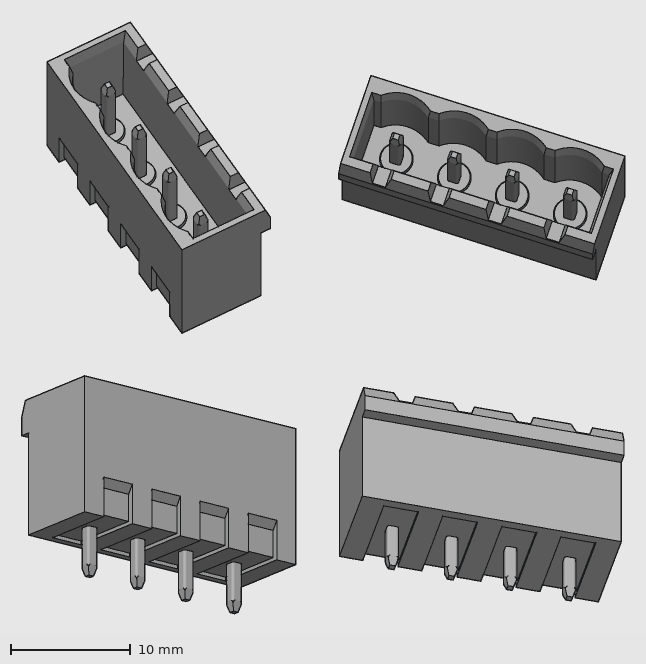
import cadquery as cq


pin_count = 4
pitch = 5.1
pin_y = 3.88
pin_xs = [(i - (pin_count - 1) / 2) * pitch for i in range(pin_count)]

length = 22.32
body_depth = 7.65
overall_depth = 8.57
height = 11.99
lip_height = 3.0
lip_bevel_run = 0.51
lip_bevel_drop = 1.38

side_wall = 0.83
front_wall = 1.67
back_wall = 0.71
back_wall_draft = 0.07
floor_z = 3.5
mouth_bevel = 0.3
mouth_bevel_back = 0.33
mouth_bevel_drop = 1.1
cavity_length = length - 2 * side_wall
cavity_back_y = body_depth - back_wall
cavity_depth = cavity_back_y - front_wall
cavity_y = front_wall + cavity_depth / 2
mouth_bevel_z = height - mouth_bevel_drop

scallop_half_width = 2.08
scallop_depth = 0.75
scallop_mouth_half_width = 2.17
scallop_mouth_depth = 0.8

boss_base_radius = 1.4
boss_top_radius = 1.32
boss_height = 0.22

coding_slot_top_width = 1.85
coding_slot_floor_width = 1.14
coding_slot_drop = 1.23

notch_width = 3.01
notch_height = 3.48
notch_depth = 0.5
notch_roof_rise = 0.75
channel_height = 0.33
channel_end_y = cavity_back_y

pin_width = 1.0
pin_edge_radius = 0.22
pin_bottom_z = -3.9
pin_top_z = 10.2
pin_tip_length = 0.9
pin_tip_width = 0.5


def side_profile(points, width, x):
    """Prism of the given (Y, Z) outline, centred on x along the X axis."""
    return cq.Workplane("YZ", origin=(x, 0, 0)).polyline(points).close().extrude(width / 2, both=True)


def housing_block():
    outline = [
        (0, 0),
        (body_depth, 0),
        (body_depth, height - lip_height),
        (overall_depth, height - lip_height),
        (overall_depth, height - lip_bevel_drop),
        (overall_depth - lip_bevel_run, height),
        (0, height),
    ]
    return side_profile(outline, length, 0)


def cavity():
    """Rectangular pocket with a drafted back wall and a mouth flaring outward to the top face."""
    pocket_outline = [
        (front_wall, floor_z),
        (cavity_back_y - back_wall_draft, floor_z),
        (cavity_back_y, mouth_bevel_z),
        (front_wall, mouth_bevel_z),
    ]
    pocket = side_profile(pocket_outline, cavity_length, 0)
    mouth = (
        cq.Workplane("XY", origin=(0, cavity_y, mouth_bevel_z))
        .rect(cavity_length, cavity_depth)
        .workplane(offset=mouth_bevel_drop)
        .center(0, (mouth_bevel_back - mouth_bevel) / 2)
        .rect(cavity_length + 2 * mouth_bevel, cavity_depth + mouth_bevel + mouth_bevel_back)
        .loft(ruled=True)
    )
    return pocket.union(mouth)


def scallop_outline(plane, chord_y, half_width, depth):
    """Circular segment that bulges from its chord toward the front face."""
    return (
        plane.moveTo(-half_width, chord_y)
        .threePointArc((0, chord_y - depth), (half_width, chord_y))
        .close()
    )


def scallop(x):
    """Scallop with upright walls below and the same outward flare as the cavity mouth above."""
    lower = scallop_outline(
        cq.Workplane("XY", origin=(x, 0, floor_z)), front_wall, scallop_half_width, scallop_depth
    ).extrude(mouth_bevel_z - floor_z)
    flare_base = scallop_outline(
        cq.Workplane("XY", origin=(x, 0, mouth_bevel_z)), front_wall, scallop_half_width, scallop_depth
    )
    flare = scallop_outline(
        flare_base.workplane(offset=mouth_bevel_drop, origin=(x, 0, mouth_bevel_z)),
        front_wall - mouth_bevel,
        scallop_mouth_half_width,
        scallop_mouth_depth,
    ).loft(ruled=True)
    return lower.union(flare)


def boss(x):
    """Low tapered boss standing on the cavity floor."""
    return (
        cq.Workplane("XY", origin=(x, pin_y, floor_z))
        .circle(boss_base_radius)
        .workplane(offset=boss_height)
        .circle(boss_top_radius)
        .loft()
    )


def coding_slot(x):
    """Slot with sloping sides through the rear wall and lip."""
    slot_floor_z = height - coding_slot_drop
    outline = [
        (x - coding_slot_floor_width / 2, slot_floor_z),
        (x + coding_slot_floor_width / 2, slot_floor_z),
        (x + coding_slot_top_width / 2, height),
        (x - coding_slot_top_width / 2, height),
    ]
    slot_length = overall_depth - cavity_y
    return cq.Workplane("XZ", origin=(0, overall_depth, 0)).polyline(outline).close().extrude(slot_length)


def notch(x):
    """Front notch with a sloping roof, opening into a channel under the pin."""
    outline = [
        (0, 0),
        (channel_end_y, 0),
        (channel_end_y, channel_height),
        (notch_depth, channel_height),
        (notch_depth, notch_height - notch_roof_rise),
        (0, notch_height),
    ]
    return side_profile(outline, notch_width, x)


def make_pin(x):
    """Square pin with rounded edges and a pyramid taper at both ends."""
    pin_length = pin_top_z - pin_bottom_z
    bar = (
        cq.Workplane("XY", origin=(x, pin_y, pin_bottom_z))
        .rect(pin_width, pin_width)
        .extrude(pin_length)
        .edges("|Z")
        .fillet(pin_edge_radius)
    )
    envelope = (
        cq.Workplane("XY", origin=(x, pin_y, pin_bottom_z))
        .rect(pin_tip_width, pin_tip_width)
        .workplane(offset=pin_tip_length)
        .rect(pin_width, pin_width)
        .workplane(offset=pin_length - 2 * pin_tip_length)
        .rect(pin_width, pin_width)
        .workplane(offset=pin_tip_length)
        .rect(pin_tip_width, pin_tip_width)
        .loft(ruled=True)
    )
    return bar.intersect(envelope)


def make_housing(pins):
    housing = housing_block().cut(cavity())
    for x in pin_xs:
        housing = housing.cut(scallop(x)).cut(coding_slot(x)).cut(notch(x))
        housing = housing.union(boss(x))
    for pin in pins:
        housing = housing.cut(pin)
    return housing


pins = [make_pin(x) for x in pin_xs]
housing = make_housing(pins)

result = cq.Compound.makeCompound([housing.val(), *[pin.val() for pin in pins]])